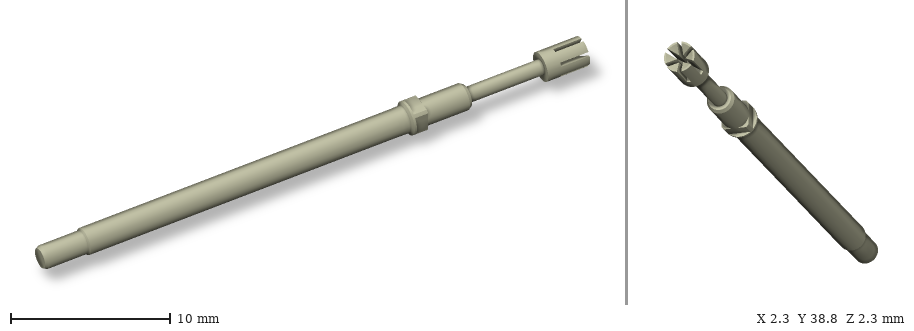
import cadquery as cq

total_length = 38.8
front_face_y = total_length / 2

head_dia = 2.0
head_length = 3.0
cup_dia = 1.8
cup_depth = 0.6
slot_count = 6
slot_width = 0.27
slot_depth = 2.0

stem_dia = 1.05

barrel_dia = 1.82
barrel_start = 8.3
barrel_chamfer_length = 0.25
barrel_chamfer_depth = 0.15
barrel_end = 35.77
shoulder_cone_length = 0.1

flange_dia = 2.3
flange_start = 12.45
flange_rim_length = 0.15
flange_taper_length = 0.15
square_start = 11.52
square_across_flats = 1.8

ring_dia = 1.85
ring_end = 13.5

tail_dia = 1.6
tail_chamfer_length = 0.25
tail_chamfer_depth = 0.1


def turned_body():
    """Revolve the (radius, station) profile around the Y axis."""
    rim_end = flange_start + flange_rim_length
    profile = [
        (0, 0),
        (head_dia / 2, 0),
        (head_dia / 2, head_length),
        (stem_dia / 2, head_length),
        (stem_dia / 2, barrel_start),
        (barrel_dia / 2 - barrel_chamfer_depth, barrel_start),
        (barrel_dia / 2, barrel_start + barrel_chamfer_length),
        (barrel_dia / 2, flange_start),
        (flange_dia / 2, flange_start),
        (flange_dia / 2, rim_end),
        (ring_dia / 2, rim_end + flange_taper_length),
        (barrel_dia / 2, ring_end),
        (barrel_dia / 2, barrel_end - shoulder_cone_length),
        (tail_dia / 2, barrel_end),
        (tail_dia / 2, total_length - tail_chamfer_length),
        (tail_dia / 2 - tail_chamfer_depth, total_length),
        (0, total_length),
    ]
    points = [(radius, front_face_y - station) for radius, station in profile]
    return cq.Workplane("XY").polyline(points).close().revolve(360, (0, 0), (0, 1))


def plane_at(station):
    """XZ workplane at a station, extruding towards -Y."""
    return cq.Workplane("XZ", origin=(0, front_face_y - station, 0))


def square_drive():
    """Square wrench section, its corners rounded to the flange diameter."""
    length = flange_start - square_start
    square = plane_at(square_start).rect(square_across_flats, square_across_flats).extrude(length)
    return square.intersect(plane_at(square_start).circle(flange_dia / 2).extrude(length))


def barrel_stock():
    """Round stock to clear around the square drive."""
    return plane_at(square_start).circle(flange_dia / 2).extrude(flange_start - square_start)


def crown_cuts():
    """Conical cup in the crown face and the slots that split the crown into tines."""
    rim_point = (cup_dia / 2, front_face_y)
    apex = (0, front_face_y - cup_depth)
    cup_profile = cq.Workplane("XY").polyline([(0, front_face_y), rim_point, apex]).close()
    cuts = cup_profile.revolve(360, (0, 0), (0, 1))
    slot = plane_at(0).rect(slot_width, head_dia).extrude(slot_depth)
    for index in range(slot_count // 2):
        cuts = cuts.union(slot.rotate((0, 0, 0), (0, 1, 0), index * 360 / slot_count))
    return cuts


result = turned_body().cut(barrel_stock()).union(square_drive()).cut(crown_cuts())